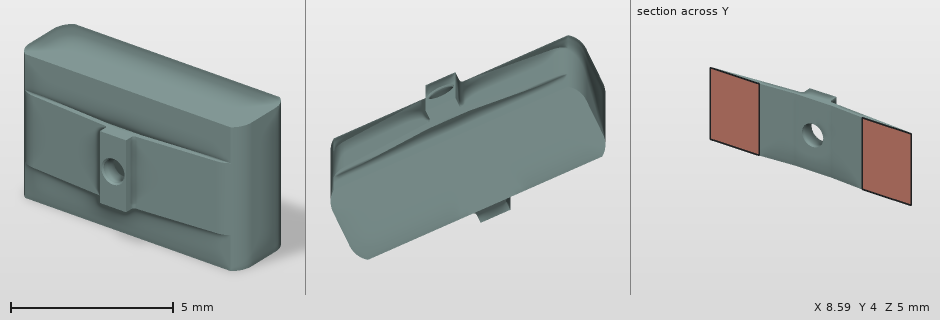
import cadquery as cq
import math

length = 8.59
core_width = 2.5
core_height = 5.0
corner_radius = 0.8
end_flat_width = 1.22

leaf_height = core_height / 2
leaf_slope = math.radians(4.3)
outer_flat_width = 1.26
inner_flat_width = 1.375
inner_flat_y = 1.44

pad_width = 1.005
overall_width = 4.0
pad_root_radius = 0.1

hole_diameter = 0.8
hole_chamfer = 0.05

half_length = length / 2
half_core = core_width / 2
half_pad = pad_width / 2
pad_y = overall_width / 2

corner_x = half_length - corner_radius
corner_y = end_flat_width / 2


def corner_point(angle):
    """Point on the corner arc, with the angle measured from +X."""
    return (
        corner_x + corner_radius * math.cos(angle),
        corner_y + corner_radius * math.sin(angle),
    )


def mirror_x(point):
    return (-point[0], point[1])


core_angle = math.asin((half_core - corner_y) / corner_radius)
leaf_angle = math.pi / 2 - leaf_slope
core_corner = corner_point(core_angle)
core_arc_middle = corner_point(core_angle / 2)
leaf_start = corner_point(leaf_angle)
leaf_arc_middle = corner_point((core_angle + leaf_angle) / 2)
leaf_rise = (leaf_start[0] - outer_flat_width / 2) * math.tan(leaf_slope)
leaf_end = (outer_flat_width / 2, leaf_start[1] + leaf_rise)
pad_root = (half_pad, leaf_end[1])

gap_end_x = inner_flat_width / 2 + (inner_flat_y - half_core) / math.tan(leaf_slope)


def make_core():
    half = (
        cq.Workplane("XY")
        .moveTo(-half_length, 0)
        .lineTo(-half_length, corner_y)
        .threePointArc(mirror_x(core_arc_middle), mirror_x(core_corner))
        .lineTo(*core_corner)
        .threePointArc(core_arc_middle, (half_length, corner_y))
        .lineTo(half_length, 0)
        .close()
        .extrude(core_height / 2, both=True)
    )
    return half.union(half.mirror("XZ"))


def make_leaf():
    """Leaf with its pad and chamfered hole on the +Y side."""
    leaf = (
        cq.Workplane("XY")
        .moveTo(*core_corner)
        .threePointArc(leaf_arc_middle, leaf_start)
        .lineTo(*leaf_end)
        .lineTo(*pad_root)
        .lineTo(half_pad, pad_y)
        .lineTo(-half_pad, pad_y)
        .lineTo(*mirror_x(pad_root))
        .lineTo(*mirror_x(leaf_end))
        .lineTo(*mirror_x(leaf_start))
        .threePointArc(mirror_x(leaf_arc_middle), mirror_x(core_corner))
        .lineTo(-gap_end_x, half_core)
        .lineTo(-inner_flat_width / 2, inner_flat_y)
        .lineTo(inner_flat_width / 2, inner_flat_y)
        .lineTo(gap_end_x, half_core)
        .close()
        .extrude(leaf_height / 2, both=True)
    )
    root_edges = cq.selectors.BoxSelector(
        (-half_pad - pad_root_radius / 2, pad_root[1] - pad_root_radius, -leaf_height),
        (half_pad + pad_root_radius / 2, pad_root[1] + pad_root_radius, leaf_height),
    )
    leaf = leaf.edges("|Z").edges(root_edges).fillet(pad_root_radius)
    leaf = leaf.faces(">Y").workplane(origin=(0, pad_y, 0)).hole(hole_diameter, pad_y - half_core)
    return leaf.faces(">Y").edges("%CIRCLE").chamfer(hole_chamfer)


leaf = make_leaf()
result = make_core().union(leaf).union(leaf.mirror("XZ"))